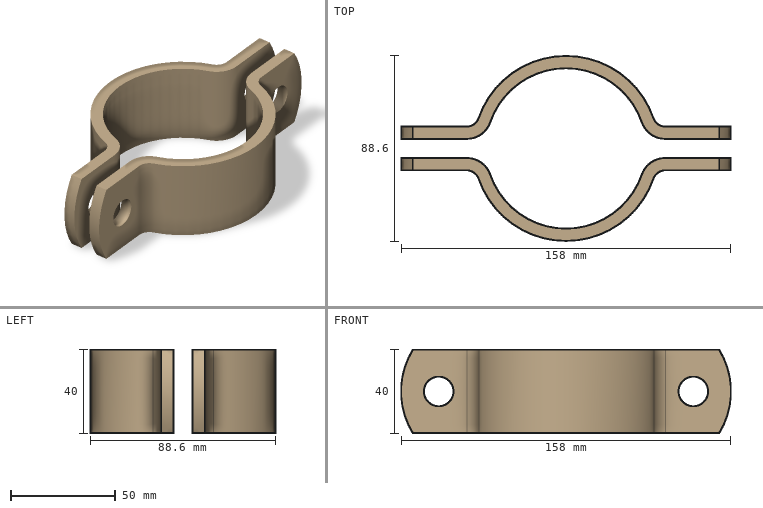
import cadquery as cq
import math

length = 158.0
width = 40.0
thickness = 6.0
gap = 9.0
outer_diameter = 88.6
bend_radius = 6.0
tip_radius = 37.9
hole_diameter = 14.0
hole_spacing = 121.8

outer_radius = outer_diameter / 2
inner_radius = outer_radius - thickness
lug_inner_y = gap / 2
lug_outer_y = lug_inner_y + thickness
half_length = length / 2

bend_y = lug_outer_y + bend_radius
bend_distance = outer_radius + bend_radius
bend_x = math.sqrt(bend_distance**2 - bend_y**2)
bend_angle = math.atan2(bend_y, bend_x)


def band_point(radius, side):
    """Point where the band meets the bend, on side -1 (left) or 1 (right)."""
    return (side * radius * math.cos(bend_angle), radius * math.sin(bend_angle))


def bend_mid_point(radius, side):
    """Middle of a bend arc of the given radius."""
    mid_angle = (math.pi / 2 - bend_angle) / 2 + bend_angle
    return (
        side * (bend_x - radius * math.cos(mid_angle)),
        bend_y - radius * math.sin(mid_angle),
    )


def make_strip():
    """Bent strip of the +Y half, with square lug ends."""
    return (
        cq.Workplane("XY")
        .workplane(offset=-width / 2)
        .moveTo(-half_length, lug_outer_y)
        .lineTo(-bend_x, lug_outer_y)
        .threePointArc(bend_mid_point(bend_radius, -1), band_point(outer_radius, -1))
        .threePointArc((0, outer_radius), band_point(outer_radius, 1))
        .threePointArc(bend_mid_point(bend_radius, 1), (bend_x, lug_outer_y))
        .lineTo(half_length, lug_outer_y)
        .lineTo(half_length, lug_inner_y)
        .lineTo(bend_x, lug_inner_y)
        .threePointArc(bend_mid_point(bend_radius + thickness, 1), band_point(inner_radius, 1))
        .threePointArc((0, inner_radius), band_point(inner_radius, -1))
        .threePointArc(bend_mid_point(bend_radius + thickness, -1), (-bend_x, lug_inner_y))
        .lineTo(-half_length, lug_inner_y)
        .close()
        .extrude(width)
    )


def make_tip_envelope():
    """Block with rounded ends that trims the lug tips."""
    half_width = width / 2
    tip_depth = tip_radius - math.sqrt(tip_radius**2 - half_width**2)
    corner_x = half_length - tip_depth
    return (
        cq.Workplane("XZ")
        .moveTo(-corner_x, -half_width)
        .lineTo(corner_x, -half_width)
        .threePointArc((half_length, 0), (corner_x, half_width))
        .lineTo(-corner_x, half_width)
        .threePointArc((-half_length, 0), (-corner_x, -half_width))
        .close()
        .extrude(outer_diameter, both=True)
    )


def make_bolt_holes():
    """Cutters for the bolt hole in each lug."""
    return (
        cq.Workplane("XZ")
        .pushPoints([(-hole_spacing / 2, 0), (hole_spacing / 2, 0)])
        .circle(hole_diameter / 2)
        .extrude(outer_diameter, both=True)
    )


def make_clamp_half(rotation):
    """One clamp half, turned about Z into its place."""
    half = make_strip().intersect(make_tip_envelope()).cut(make_bolt_holes())
    return half.rotate((0, 0, 0), (0, 0, 1), rotation)


clamp_halves = [make_clamp_half(rotation).val() for rotation in (0, 180)]

result = cq.Compound.makeCompound(clamp_halves)